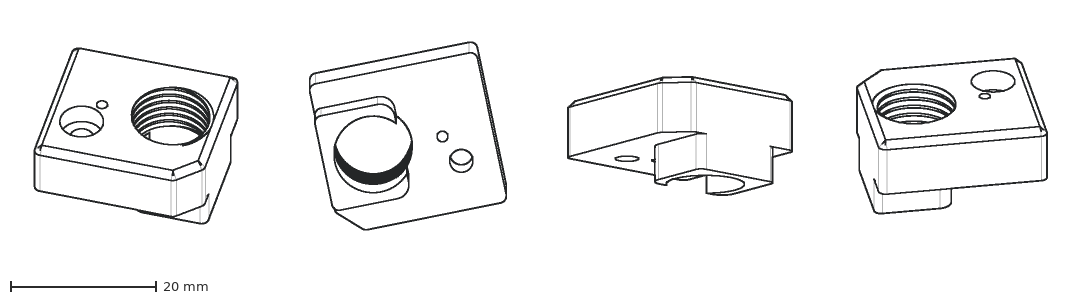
import cadquery as cq

block_length = 23.59
block_width = 21.6
block_height = 8.0
edge_size = 1.0
corner_cut_x = 19.7
corner_cut_y = 3.75

boss_length = 11.0
boss_width = 13.56
boss_height = 5.0
boss_inner_radius = 2.0

bore_x = 16.6
bore_y = 11.3
bore_minor_diameter = 10.78
bore_major_diameter = 12.18
thread_pitch = 1.25
thread_turns = 6
groove_width = 0.86
thread_top_angle = -14.0

screw_x = 5.1
screw_y = 6.9
screw_diameter = 3.2
counterbore_diameter = 6.0
counterbore_depth = 3.0

pin_x = 6.95
pin_y = 10.8
pin_diameter = 1.5

total_height = block_height + boss_height


def make_block():
    """Block with rounded vertical edges and a bevel around the top face."""
    right = block_length - edge_size
    back = block_width - edge_size
    top_outline = [
        (edge_size, edge_size),
        (corner_cut_x, edge_size),
        (right, corner_cut_y),
        (right, back),
        (edge_size, back),
    ]
    block = (
        cq.Workplane("XY")
        .polyline(top_outline)
        .close()
        .offset2D(edge_size, "arc")
        .extrude(block_height)
    )
    return block.faces(">Z").chamfer(edge_size)


def make_boss():
    """Rounded boss centred on the bore across the width."""
    boss = (
        cq.Workplane("XY")
        .box(boss_length, boss_width, boss_height, centered=(False, True, False))
        .translate((block_length - boss_length, bore_y, -boss_height))
    )
    boss = boss.edges("|Z and <X").fillet(boss_inner_radius)
    return boss.edges("|Z and >X").fillet(edge_size)


def through_hole(x, y, diameter):
    """Cutter for a vertical hole through the whole part."""
    return (
        cq.Workplane("XY", origin=(x, y, -boss_height))
        .circle(diameter / 2)
        .extrude(total_height)
    )


def make_thread_groove():
    """Right-handed V groove around the bore, ending flat at the thread's lower end."""
    minor_radius = bore_minor_diameter / 2
    major_radius = bore_major_diameter / 2
    flank_slope = groove_width / 2 / (major_radius - minor_radius)
    overlap = 0.1
    inner_radius = minor_radius - overlap
    half_opening = flank_slope * (major_radius - inner_radius)
    thread_length = thread_turns * thread_pitch
    thread_bottom = block_height - thread_length

    helix_length = thread_length + 2 * thread_pitch
    helix = cq.Wire.makeHelix(thread_pitch, helix_length, inner_radius)
    groove = (
        cq.Workplane("XZ")
        .moveTo(inner_radius, -half_opening)
        .lineTo(major_radius, 0)
        .lineTo(inner_radius, half_opening)
        .close()
        .sweep(cq.Workplane(helix), isFrenet=True)
        .rotate((0, 0, 0), (0, 0, 1), thread_top_angle)
        .translate((bore_x, bore_y, thread_bottom - thread_pitch))
    )
    limits = (
        cq.Workplane("XY", origin=(bore_x, bore_y, thread_bottom))
        .circle(bore_major_diameter)
        .extrude(thread_length)
    )
    return groove.intersect(limits)


def make_counterbore():
    """Cutter for the screw head recess in the top face."""
    return (
        cq.Workplane("XY", origin=(screw_x, screw_y, block_height - counterbore_depth))
        .circle(counterbore_diameter / 2)
        .extrude(counterbore_depth)
    )


result = make_block().union(make_boss())
result = result.cut(through_hole(bore_x, bore_y, bore_minor_diameter))
result = result.cut(make_thread_groove())
result = result.cut(through_hole(screw_x, screw_y, screw_diameter))
result = result.cut(make_counterbore())
result = result.cut(through_hole(pin_x, pin_y, pin_diameter))